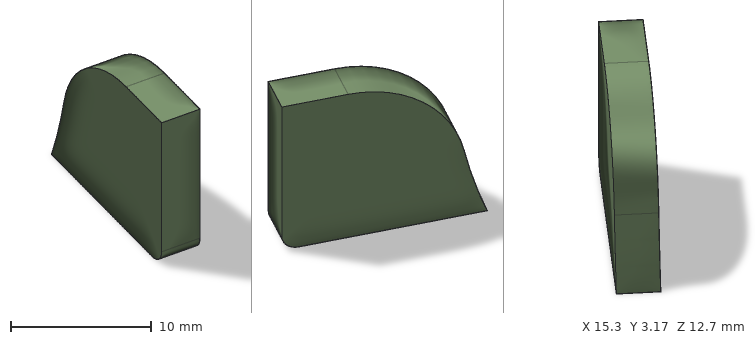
import cadquery as cq
import math

length = 15.31
thickness = 3.17
height = 12.7

flat_top_length = 4.95
shoulder_radius = 8.85
flare_height = 5.73
corner_radius = 1.25

shoulder_x = length - flat_top_length
shoulder_z = height - shoulder_radius
flare_angle = math.pi - math.asin((flare_height - shoulder_z) / shoulder_radius)
mid_angle = (math.pi / 2 + flare_angle) / 2


def shoulder_point(angle):
    """Point on the shoulder arc, with the angle measured from +X."""
    return (
        shoulder_x + shoulder_radius * math.cos(angle),
        shoulder_z + shoulder_radius * math.sin(angle),
    )


profile = (
    cq.Workplane("XZ")
    .moveTo(0, 0)
    .lineTo(length, 0)
    .lineTo(length, height)
    .lineTo(shoulder_x, height)
    .threePointArc(shoulder_point(mid_angle), shoulder_point(flare_angle))
    .tangentArcPoint((0, 0), relative=False)
    .close()
)

plate = profile.extrude(thickness)

result = plate.edges("|Y").edges(">X").edges("<Z").fillet(corner_radius)